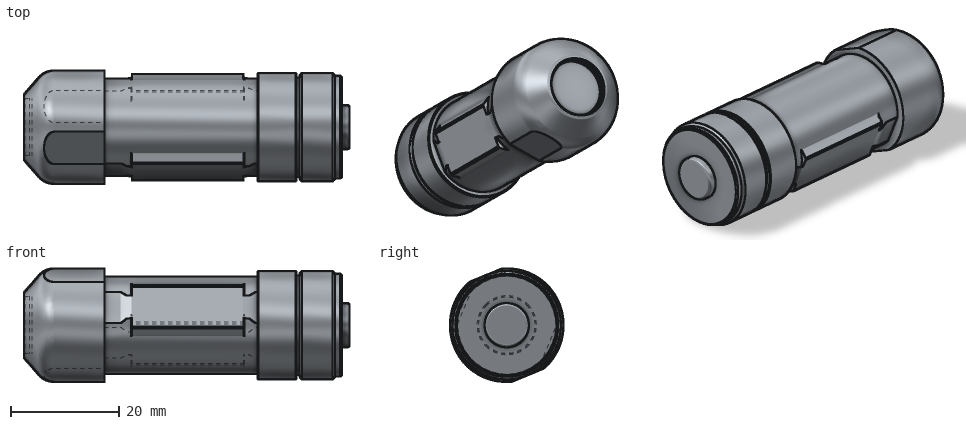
import cadquery as cq
import math

length = 60.15

cap_radius = 21.0 / 2
cap_end = 14.9
cone_angle = math.radians(49)
shoulder_start = 5.65
shoulder_arc_radius = 3.85
lip_arc_radius = 0.85
lip_face_radius = 5.7

flat_distance = 10.0
flat_angle = 22.5

bore_mouth_radius = 10.95 / 2
bore_radius = 10.5 / 2
bore_seat_radius = 10.4 / 2
bore_mouth_depth = 0.25
bore_step_depth = 1.0
bore_depth = 1.5

barrel_radius = 9.0
ring_radius = 20.0 / 2
ring_chamfer = 0.2
collar_start = 43.1
collar_end = 50.3
groove_radius = 9.2
groove_end = 50.9
end_ring_flank_radius = 9.5
end_ring_start = 51.3
end_ring_end = 56.95

rim_radius = 19.0 / 2
rim_end = 58.7
rim_chamfer = 0.3
stub_radius = 4.1
stub_fillet = 0.55

pad_tilt = 22.5
pad_start = 19.95
pad_end = 40.55
pad_height = 8.95
pad_face_half_width = 3.95
pad_edge_half_width = 4.35
pad_edge_height = 8.85
pad_base_half_width = 5.3
pad_base_height = 7.2
pad_blank_height = 9.6
pad_base_fillet = 0.2

relief_start = cap_end
relief_end = collar_start
relief_height = 8.5
ramp_foot_near = 17.9
ramp_foot_far = 42.75
ramp_half_width = 2.3


def revolved_body():
    """Solid of revolution about X carrying the cap, barrel, rings and stub."""
    shoulder_cone_x = shoulder_start - shoulder_arc_radius * math.sin(cone_angle)
    shoulder_cone_r = cap_radius - shoulder_arc_radius * (1 - math.cos(cone_angle))
    shoulder_mid_x = shoulder_start - shoulder_arc_radius * math.sin(cone_angle / 2)
    shoulder_mid_r = cap_radius - shoulder_arc_radius * (1 - math.cos(cone_angle / 2))

    lip_mid_angle = (cone_angle + math.pi / 2) / 2
    lip_cone_x = lip_arc_radius * (1 - math.sin(cone_angle))
    lip_cone_r = lip_face_radius + lip_arc_radius * math.cos(cone_angle)
    lip_mid_x = lip_arc_radius * (1 - math.sin(lip_mid_angle))
    lip_mid_r = lip_face_radius + lip_arc_radius * math.cos(lip_mid_angle)

    rim_start = end_ring_end + ring_radius - rim_radius
    profile = (
        cq.Workplane("XY")
        .moveTo(0, 0)
        .lineTo(0, lip_face_radius)
        .threePointArc((lip_mid_x, lip_mid_r), (lip_cone_x, lip_cone_r))
        .lineTo(shoulder_cone_x, shoulder_cone_r)
        .threePointArc((shoulder_mid_x, shoulder_mid_r), (shoulder_start, cap_radius))
        .lineTo(cap_end, cap_radius)
        .lineTo(cap_end, barrel_radius)
        .lineTo(collar_start, barrel_radius)
        .lineTo(collar_start, ring_radius - ring_chamfer)
        .lineTo(collar_start + ring_chamfer, ring_radius)
        .lineTo(collar_end - ring_chamfer, ring_radius)
        .lineTo(collar_end, ring_radius - ring_chamfer)
        .lineTo(collar_end, groove_radius)
        .lineTo(groove_end, groove_radius)
        .lineTo(groove_end, end_ring_flank_radius)
        .lineTo(end_ring_start, ring_radius)
        .lineTo(end_ring_end, ring_radius)
        .lineTo(rim_start, rim_radius)
        .lineTo(rim_end - rim_chamfer, rim_radius)
        .lineTo(rim_end, rim_radius - rim_chamfer)
        .lineTo(rim_end, stub_radius)
        .lineTo(length - stub_fillet, stub_radius)
        .radiusArc((length, stub_radius - stub_fillet), stub_fillet)
        .lineTo(length, 0)
        .close()
    )
    return profile.revolve(360, (0, 0, 0), (1, 0, 0))


def nose_bore():
    """Cutter for the shallow bore in the nose: tapered mouth, bore and narrower seat."""
    profile = (
        cq.Workplane("XY")
        .moveTo(0, 0)
        .lineTo(0, bore_mouth_radius)
        .lineTo(bore_mouth_depth, bore_radius)
        .lineTo(bore_step_depth, bore_radius)
        .lineTo(bore_step_depth, bore_seat_radius)
        .lineTo(bore_depth, bore_seat_radius)
        .lineTo(bore_depth, 0)
        .close()
    )
    return profile.revolve(360, (0, 0, 0), (1, 0, 0))


def wrench_flat():
    """Cutter for one flat on the cap, facing up and tilted toward -Y."""
    depth = cap_radius - flat_distance
    cutter = cq.Workplane("XY").box(cap_end, 2 * cap_radius, depth, centered=(False, True, False))
    return cutter.translate((0, 0, flat_distance)).rotate((0, 0, 0), (1, 0, 0), flat_angle)


def side_pad():
    """Pad blank filleted onto half of the plain barrel, built facing +Z."""
    blank = (
        cq.Workplane("YZ", origin=(pad_start, 0, 0))
        .moveTo(-pad_base_half_width, pad_base_height)
        .lineTo(-pad_edge_half_width, pad_edge_height)
        .lineTo(-pad_face_half_width, pad_height)
        .lineTo(-pad_face_half_width, pad_blank_height)
        .lineTo(pad_face_half_width, pad_blank_height)
        .lineTo(pad_face_half_width, pad_height)
        .lineTo(pad_edge_half_width, pad_edge_height)
        .lineTo(pad_base_half_width, pad_base_height)
        .lineTo(0, 0)
        .close()
        .extrude(pad_end - pad_start)
    )
    half_barrel = (
        cq.Workplane("YZ", origin=(cap_end, 0, 0))
        .moveTo(-barrel_radius, 0)
        .threePointArc((0, barrel_radius), (barrel_radius, 0))
        .close()
        .extrude(collar_start - cap_end)
    )
    base_zone = cq.selectors.BoxSelector(
        (pad_start - pad_base_fillet, -barrel_radius, pad_base_height),
        (pad_end + pad_base_fillet, barrel_radius, barrel_radius),
    )
    return half_barrel.union(blank).faces("%CYLINDER").edges(base_zone).fillet(pad_base_fillet)


def pad_ramps():
    """Narrow ramps rising from the relief flats to the pad face, built facing +Z."""
    return (
        cq.Workplane("XZ")
        .moveTo(ramp_foot_near, 0)
        .lineTo(ramp_foot_near, relief_height)
        .lineTo(pad_start, pad_height)
        .lineTo(pad_end, pad_height)
        .lineTo(ramp_foot_far, relief_height)
        .lineTo(ramp_foot_far, 0)
        .close()
        .extrude(ramp_half_width, both=True)
    )


def barrel_relief():
    """Cutter for the relief flats, the ramps and the pad face, built facing +Z."""
    return (
        cq.Workplane("XZ")
        .moveTo(relief_start, relief_height)
        .lineTo(ramp_foot_near, relief_height)
        .lineTo(pad_start, pad_height)
        .lineTo(pad_end, pad_height)
        .lineTo(ramp_foot_far, relief_height)
        .lineTo(relief_end, relief_height)
        .lineTo(relief_end, cap_radius)
        .lineTo(relief_start, cap_radius)
        .close()
        .extrude(pad_base_half_width, both=True)
    )


def turned(shape, angle):
    """Turn a shape about the X axis by an angle in degrees."""
    return shape.rotate((0, 0, 0), (1, 0, 0), angle)


result = revolved_body().cut(nose_bore())
relieved_pad = side_pad().cut(barrel_relief()).union(pad_ramps())

for half_turn in (0, 180):
    pad_angle = 90 - pad_tilt + half_turn
    result = result.cut(turned(wrench_flat(), half_turn))
    result = result.cut(turned(barrel_relief(), pad_angle))
    result = result.union(turned(relieved_pad, pad_angle))